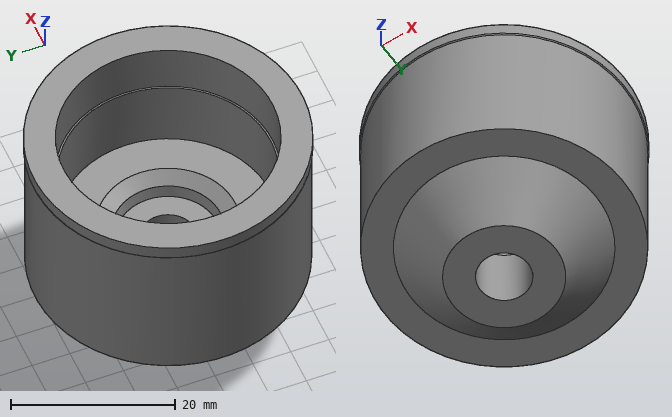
import cadquery as cq

total_height = 28.8
flange_height = 1.87
flange_bevel_height = 0.15
nose_height = 6.3

flange_diameter = 35.3
body_diameter = 35.0
nose_base_diameter = 27.0
nose_tip_diameter = 15.0

mouth_diameter = 27.5
mouth_depth = 6.8
bore_diameter = 27.0
bore_depth = 16.5

funnel_top_diameter = 17.6
funnel_throat_diameter = 13.8
funnel_seat_diameter = 12.8

funnel_upper_height = 1.1
funnel_lower_height = 1.38

outlet_diameter = 7.0

bore_floor = total_height - bore_depth
funnel_throat = bore_floor - funnel_upper_height
funnel_seat = funnel_throat - funnel_lower_height


def cylinder(diameter, bottom, top):
    """Vertical cylinder between two heights."""
    return cq.Workplane("XY").workplane(offset=bottom).circle(diameter / 2).extrude(top - bottom)


def cone(bottom_diameter, top_diameter, bottom, top):
    """Vertical truncated cone between two heights."""
    return cq.Workplane(
        cq.Solid.makeCone(bottom_diameter / 2, top_diameter / 2, top - bottom, pnt=cq.Vector(0, 0, bottom))
    )


def outer_shape():
    nose = cone(nose_tip_diameter, nose_base_diameter, 0, nose_height)
    body = cylinder(body_diameter, nose_height, total_height)
    flange_bottom = total_height - flange_height
    flange = cylinder(flange_diameter, flange_bottom, total_height)
    bevel = cone(body_diameter, flange_diameter, flange_bottom - flange_bevel_height, flange_bottom)
    return nose.union(body).union(bevel).union(flange)


def inner_cavity():
    mouth = cylinder(mouth_diameter, total_height - mouth_depth, total_height)
    bore = cylinder(bore_diameter, bore_floor, total_height)
    upper_funnel = cone(funnel_throat_diameter, funnel_top_diameter, funnel_throat, bore_floor)
    lower_funnel = cone(funnel_seat_diameter, funnel_throat_diameter, funnel_seat, funnel_throat)
    outlet = cylinder(outlet_diameter, 0, funnel_seat)
    return mouth.union(bore).union(upper_funnel).union(lower_funnel).union(outlet)


result = outer_shape().cut(inner_cavity())